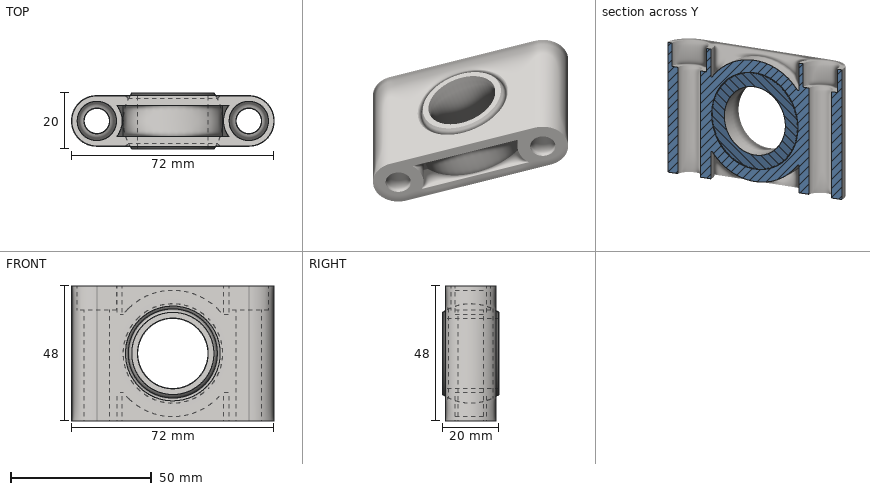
import cadquery as cq
import math

LENGTH = 72.0
THICKNESS = 18.0
HEIGHT = 48.0
END_RADIUS = THICKNESS / 2
BOLT_X = LENGTH / 2 - END_RADIUS

BOLT_HOLE_DIAMETER = 9.0
COUNTERBORE_DIAMETER = 14.0
COUNTERBORE_DEPTH = 8.65

WALL = 3.45
POCKET_WIDTH = THICKNESS - 2 * WALL
HUB_RADIUS = 22.5
POCKET_FLOOR_HALF_LENGTH = 17.7
POCKET_FLOOR_Z = math.sqrt(HUB_RADIUS**2 - POCKET_FLOOR_HALF_LENGTH**2)

BALL_WIDTH = 20.0
BALL_RADIUS = 17.7
BORE_DIAMETER = 25.0

SEAT_MOUTH_RADIUS = 16.85
SEAT_EDGE_RADIUS = 15.85
SEAT_EDGE_Y = math.sqrt(BALL_RADIUS**2 - SEAT_EDGE_RADIUS**2)


def y_cylinder(radius, length):
    """Cylinder along Y, centred on the origin."""
    return cq.Workplane("XZ").circle(radius).extrude(length / 2, both=True)


def make_pocket():
    """Upper pocket, bounded by the hub and by the two round bolt bosses."""
    depth = HEIGHT / 2 - POCKET_FLOOR_Z
    pocket = (
        cq.Workplane("XY")
        .workplane(offset=POCKET_FLOOR_Z)
        .rect(2 * BOLT_X, POCKET_WIDTH)
        .extrude(depth)
    )
    bosses = (
        cq.Workplane("XY")
        .workplane(offset=POCKET_FLOOR_Z)
        .pushPoints([(-BOLT_X, 0), (BOLT_X, 0)])
        .circle(END_RADIUS)
        .extrude(depth)
    )
    return pocket.cut(bosses).cut(y_cylinder(HUB_RADIUS, THICKNESS))


def make_seat():
    """Spherical socket for the ball, flaring out into a cone at each face."""
    face_y = THICKNESS / 2
    return (
        cq.Workplane("XY")
        .moveTo(0, -face_y)
        .lineTo(SEAT_MOUTH_RADIUS, -face_y)
        .lineTo(SEAT_EDGE_RADIUS, -SEAT_EDGE_Y)
        .threePointArc((BALL_RADIUS, 0), (SEAT_EDGE_RADIUS, SEAT_EDGE_Y))
        .lineTo(SEAT_MOUTH_RADIUS, face_y)
        .lineTo(0, face_y)
        .close()
        .revolve(360, (0, 0, 0), (0, 1, 0))
    )


def make_housing():
    block = cq.Workplane("XY").slot2D(LENGTH, THICKNESS).extrude(HEIGHT / 2, both=True)
    upper_pocket = make_pocket()
    lower_pocket = upper_pocket.mirror("XY")
    return (
        block.cut(upper_pocket)
        .cut(lower_pocket)
        .cut(make_seat())
        .faces(">Z")
        .workplane(origin=(0, 0, 0))
        .pushPoints([(-BOLT_X, 0), (BOLT_X, 0)])
        .cboreHole(BOLT_HOLE_DIAMETER, COUNTERBORE_DIAMETER, COUNTERBORE_DEPTH)
    )


def make_ball():
    bore_radius = BORE_DIAMETER / 2
    half_width = BALL_WIDTH / 2
    flat_radius = math.sqrt(BALL_RADIUS**2 - half_width**2)
    return (
        cq.Workplane("XY")
        .moveTo(bore_radius, -half_width)
        .lineTo(flat_radius, -half_width)
        .threePointArc((BALL_RADIUS, 0), (flat_radius, half_width))
        .lineTo(bore_radius, half_width)
        .close()
        .revolve(360, (0, 0, 0), (0, 1, 0))
    )


housing = make_housing()
ball = make_ball()
result = cq.Compound.makeCompound([housing.val(), ball.val()])